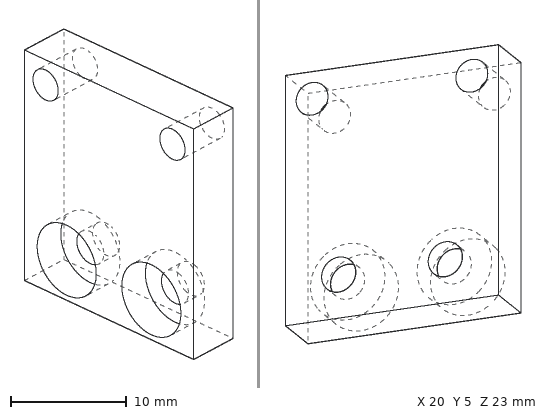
import cadquery as cq

width = 20.0
thickness = 5.0
height = 23.0

corner_hole_diameter = 3.0
corner_hole_inset = 2.5

screw_hole_diameter = 3.2
counterbore_diameter = 7.0
counterbore_depth = 3.0
screw_hole_spacing = width / 2
screw_hole_height = 4.0


def mirrored_pair(spacing, z):
    """Two points at height z, placed symmetrically about the plate's centre."""
    return [(-spacing / 2, z), (spacing / 2, z)]


plate = cq.Workplane("XY").box(width, thickness, height)

corner_holes = mirrored_pair(width - 2 * corner_hole_inset, height / 2 - corner_hole_inset)
plate = (
    plate.faces("<Y").workplane(origin=(0, 0, 0))
    .pushPoints(corner_holes)
    .hole(corner_hole_diameter)
)

screw_holes = mirrored_pair(screw_hole_spacing, screw_hole_height - height / 2)
plate = (
    plate.faces("<Y").workplane(origin=(0, 0, 0))
    .pushPoints(screw_holes)
    .cboreHole(screw_hole_diameter, counterbore_diameter, counterbore_depth)
)

result = plate